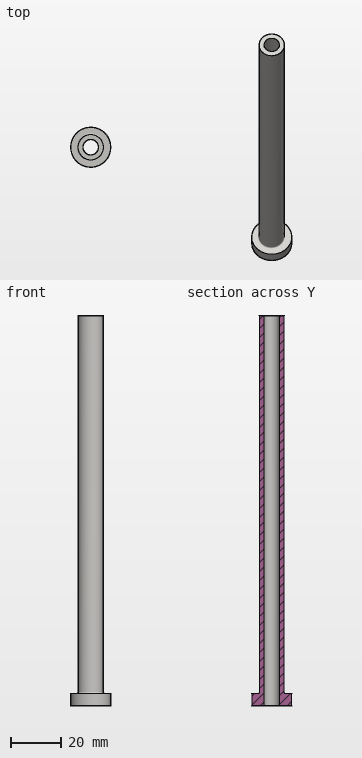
import cadquery as cq

total_length = 155.0
head_diameter = 16.0
head_height = 5.0
tube_diameter = 10.0
bore_diameter = 6.0
root_fillet = 0.5

head = cq.Workplane("XY").circle(head_diameter / 2).extrude(head_height)

tube = cq.Workplane("XY").circle(tube_diameter / 2).extrude(total_length)

sleeve = head.union(tube)
head_top_face = sleeve.faces(">Z[-2]")
root_edge = head_top_face.edges(cq.selectors.RadiusNthSelector(0))
sleeve = root_edge.fillet(root_fillet)

bore = cq.Workplane("XY").circle(bore_diameter / 2).extrude(total_length)

result = sleeve.cut(bore)